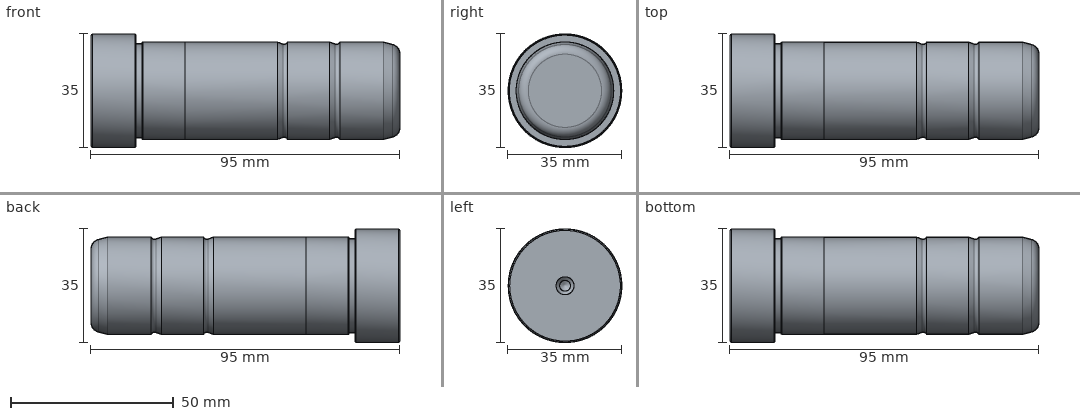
import cadquery as cq
import math

length = 95.0
head_radius = 35.0 / 2
body_radius = 30.0 / 2

head_length = 13.9
head_front_chamfer = 0.5
head_back_chamfer = 0.4

neck_radius = 29.0 / 2
neck_length = 1.8
body_start = head_length + neck_length
body_lead_chamfer = 0.3

fit_end = 29.0
sliding_clearance = 0.02
sliding_radius = body_radius - sliding_clearance

groove_starts = (57.3, 73.3)
groove_width = 3.1
groove_ramp_length = 1.7
groove_ramp_angle = 20.0
groove_ramp_drop = groove_ramp_length * math.tan(math.radians(groove_ramp_angle))

taper_length = 2.85
taper_angle = 15.0
tip_length = 2.3
taper_drop = taper_length * math.tan(math.radians(taper_angle))
taper_start = length - tip_length - taper_length
tip_radius = tip_length / (1 - math.sin(math.radians(taper_angle)))
tip_drop = tip_radius * math.cos(math.radians(taper_angle))

countersink_radius = 5.5 / 2
countersink_angle = 90.0
pilot_radius = 3.3 / 2
pilot_length = 3.8
drill_point_angle = 120.0


def revolve_about_x(profile):
    """Turn a closed XY profile around the X axis."""
    return profile.close().revolve(360, (0, 0, 0), (1, 0, 0))


def cone_depth(radius_change, included_angle):
    """Axial length of a cone for a given change in radius."""
    return radius_change / math.tan(math.radians(included_angle / 2))


def make_pin():
    taper_end_radius = sliding_radius - taper_drop
    face_radius = taper_end_radius - tip_drop
    mid_angle = math.radians((90 - taper_angle) / 2)
    arc_middle = (
        length - tip_radius + tip_radius * math.cos(mid_angle),
        face_radius + tip_radius * math.sin(mid_angle),
    )
    profile = (
        cq.Workplane("XY")
        .lineTo(0, head_radius - head_front_chamfer)
        .lineTo(head_front_chamfer, head_radius)
        .lineTo(head_length - head_back_chamfer, head_radius)
        .lineTo(head_length, head_radius - head_back_chamfer)
        .lineTo(head_length, neck_radius)
        .lineTo(body_start, neck_radius)
        .lineTo(body_start, body_radius - body_lead_chamfer)
        .lineTo(body_start + body_lead_chamfer, body_radius)
        .lineTo(fit_end, body_radius)
        .lineTo(fit_end, sliding_radius)
        .lineTo(taper_start, sliding_radius)
        .lineTo(length - tip_length, taper_end_radius)
        .threePointArc(arc_middle, (length, face_radius))
        .lineTo(length, 0)
    )
    return revolve_about_x(profile)


def make_groove(start):
    profile = (
        cq.Workplane("XY")
        .moveTo(start, sliding_radius)
        .lineTo(start + groove_ramp_length, sliding_radius - groove_ramp_drop)
        .tangentArcPoint((start + groove_width, sliding_radius), relative=False)
        .lineTo(start + groove_width, head_radius)
        .lineTo(start, head_radius)
    )
    return revolve_about_x(profile)


def make_center_hole():
    countersink_depth = cone_depth(countersink_radius - pilot_radius, countersink_angle)
    pilot_end = countersink_depth + pilot_length
    profile = (
        cq.Workplane("XY")
        .lineTo(0, countersink_radius)
        .lineTo(countersink_depth, pilot_radius)
        .lineTo(pilot_end, pilot_radius)
        .lineTo(pilot_end + cone_depth(pilot_radius, drill_point_angle), 0)
    )
    return revolve_about_x(profile)


result = make_pin().cut(make_center_hole())
for groove_start in groove_starts:
    result = result.cut(make_groove(groove_start))